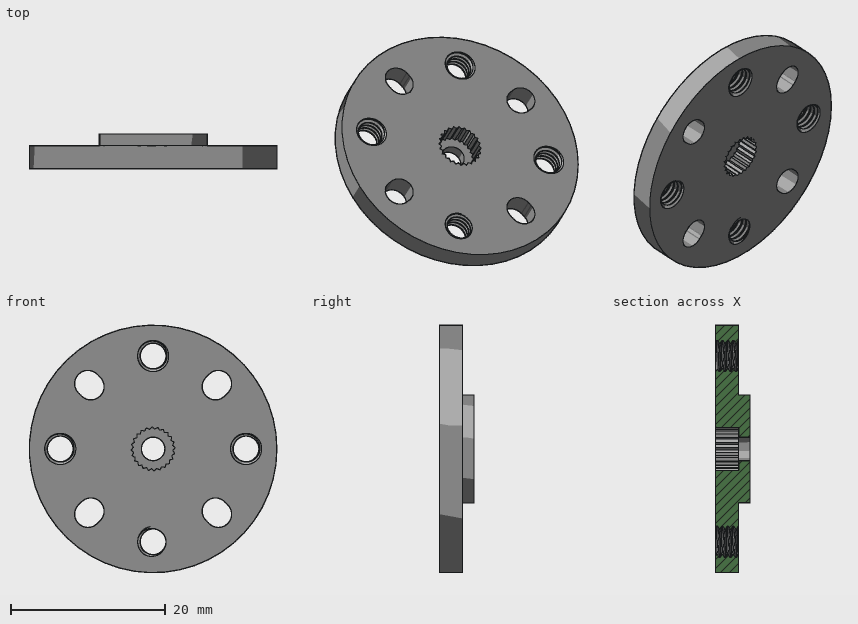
import cadquery as cq
import math

DISC_DIAMETER = 31.98
DISC_THICKNESS = 3.0
HUB_DIAMETER = 13.98
HUB_HEIGHT = 1.5
TOTAL_DEPTH = DISC_THICKNESS + HUB_HEIGHT

SCREW_HOLE_DIAMETER = 3.0
TOOTH_COUNT = 24
SOCKET_TIP_RADIUS = 2.85
SOCKET_ROOT_RADIUS = 2.55
SOCKET_DEPTH = DISC_THICKNESS
SOCKET_PHASE = 2.9

THREAD_CIRCLE_RADIUS = 12.0
LOWER_HOLE_ANGLE = 270
THREAD_MINOR_DIAMETER = 3.3
THREAD_MAJOR_DIAMETER = 4.0
THREAD_PITCH = 0.7
THREAD_HALF_ANGLE = 30.0
THREAD_CREST_HALF_WIDTH = 0.05
THREAD_OVERLAP = 0.05
THREAD_START_ANGLE = 160.0
COUNTERSINK_DIAMETER = 4.03

SLOT_CIRCLE_RADIUS = 11.65
SLOT_WIDTH = 3.4
SLOT_TRAVEL = 0.55


def cylinder_along_y(diameter, length, x=0.0, z=0.0):
    """Cylinder growing from the front face towards +Y."""
    return cq.Workplane("XZ").center(x, z).circle(diameter / 2).extrude(-length)


def polar(radius, degrees):
    angle = math.radians(degrees)
    return radius * math.cos(angle), radius * math.sin(angle)


def shaft_socket():
    tooth_angle = 360 / TOOTH_COUNT
    points = []
    for i in range(TOOTH_COUNT):
        tip_angle = SOCKET_PHASE + i * tooth_angle
        points.append(polar(SOCKET_TIP_RADIUS, tip_angle))
        points.append(polar(SOCKET_ROOT_RADIUS, tip_angle + tooth_angle / 2))
    return cq.Workplane("XZ").polyline(points).close().extrude(-SOCKET_DEPTH)


def thread_groove():
    """Helical V groove about the Z axis, running out past both faces of the disc."""
    inner = THREAD_MINOR_DIAMETER / 2 - THREAD_OVERLAP
    outer = THREAD_MAJOR_DIAMETER / 2
    slope = math.tan(math.radians(THREAD_HALF_ANGLE))
    inner_half_width = THREAD_CREST_HALF_WIDTH + (outer - inner) * slope
    turns = math.ceil(DISC_THICKNESS / THREAD_PITCH) + 2
    helix = cq.Wire.makeHelix(THREAD_PITCH, turns * THREAD_PITCH, inner)
    profile = cq.Workplane("XZ").polyline([
        (inner, -inner_half_width),
        (outer, -THREAD_CREST_HALF_WIDTH),
        (outer, THREAD_CREST_HALF_WIDTH),
        (inner, inner_half_width),
    ]).close()
    groove = profile.sweep(cq.Workplane(helix), isFrenet=True)
    return groove.translate((0, 0, -THREAD_PITCH))


def thread_bore():
    return cq.Workplane("XY").circle(THREAD_MINOR_DIAMETER / 2).extrude(DISC_THICKNESS)


def place_thread_part(part, x, z):
    """Turn a part built about +Z to its start angle, lay it along +Y and move it to a hole."""
    turned = part.rotate((0, 0, 0), (0, 0, 1), THREAD_START_ANGLE)
    return turned.rotate((0, 0, 0), (1, 0, 0), -90).translate((x, 0, z))


def countersink(x, z):
    depth = (COUNTERSINK_DIAMETER - THREAD_MINOR_DIAMETER) / 2
    cone = cq.Solid.makeCone(
        COUNTERSINK_DIAMETER / 2, THREAD_MINOR_DIAMETER / 2, depth,
        cq.Vector(x, 0, z), cq.Vector(0, 1, 0))
    return cq.Workplane(cone)


def radial_slot(degrees):
    x, z = polar(SLOT_CIRCLE_RADIUS, degrees)
    return (cq.Workplane("XZ").center(x, z)
            .slot2D(SLOT_WIDTH + SLOT_TRAVEL, SLOT_WIDTH, degrees)
            .extrude(-DISC_THICKNESS))


result = cylinder_along_y(DISC_DIAMETER, DISC_THICKNESS)

bore = thread_bore()
groove = thread_groove()
for hole_angle in (0, 90, 180, LOWER_HOLE_ANGLE):
    hole_x, hole_z = polar(THREAD_CIRCLE_RADIUS, hole_angle)
    result = result.cut(place_thread_part(bore, hole_x, hole_z))
    result = result.cut(place_thread_part(groove, hole_x, hole_z))
    if hole_angle != LOWER_HOLE_ANGLE:
        result = result.cut(countersink(hole_x, hole_z))

for slot_angle in (45, 135, 225, 315):
    result = result.cut(radial_slot(slot_angle))

result = result.union(cylinder_along_y(HUB_DIAMETER, TOTAL_DEPTH))
result = result.cut(shaft_socket())
result = result.cut(cylinder_along_y(SCREW_HOLE_DIAMETER, TOTAL_DEPTH))